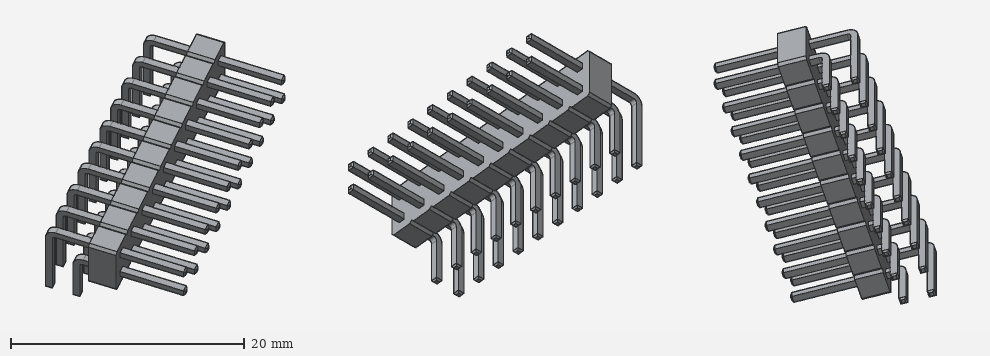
import cadquery as cq


pitch = 2.54
pins_per_row = 10
row_count = 2
pin_size = 0.64
bend_inner_radius = 0.32
tip_chamfer = 0.15
mating_length = 6.0
leg_standoff = 1.5
leg_drop = 3.64
notch_depth = 0.25

housing_depth = pitch
housing_length = pins_per_row * pitch
housing_height = row_count * pitch
half_pin = pin_size / 2
bend_outer_radius = bend_inner_radius + pin_size
mating_tip_x = housing_depth / 2 + mating_length
first_pin_y = -(housing_length - pitch) / 2


def make_housing():
    """Row of cells with chamfered long edges, so neighbours meet in V notches."""
    housing = None
    for index in range(pins_per_row):
        cell = (
            cq.Workplane("XY")
            .box(housing_depth, pitch, housing_height, centered=(True, True, False))
            .edges("|X")
            .chamfer(notch_depth)
            .translate((0, first_pin_y + index * pitch, 0))
        )
        housing = cell if housing is None else housing.union(cell)
    return housing.clean()


def make_pin(row):
    """Bent square pin centred on Y = 0; row 0 is the lowest and nearest row."""
    axis_z = (row + 0.5) * pitch
    leg_x = -housing_depth / 2 - leg_standoff - row * pitch
    leg_length = axis_z + half_pin + leg_drop
    bar_length = mating_tip_x - leg_x + half_pin

    blank = (
        cq.Workplane("XY")
        .box(bar_length, pin_size, leg_length, centered=(False, True, False))
        .translate((leg_x - half_pin, 0, -leg_drop))
        .edges("|Y and <X and >Z")
        .fillet(bend_outer_radius)
    )
    inside_corner = (
        cq.Workplane("XY")
        .box(bar_length - pin_size, pin_size, leg_length - pin_size, centered=(False, True, False))
        .translate((leg_x + half_pin, 0, -leg_drop))
        .edges("|Y and <X and >Z")
        .fillet(bend_inner_radius)
    )
    pin = blank.cut(inside_corner)
    return pin.faces(">X or <Z").edges().chamfer(tip_chamfer)


def add_pins(body):
    for row in range(row_count):
        pin = make_pin(row)
        for index in range(pins_per_row):
            body = body.union(pin.translate((0, first_pin_y + index * pitch, 0)))
    return body


result = add_pins(make_housing())